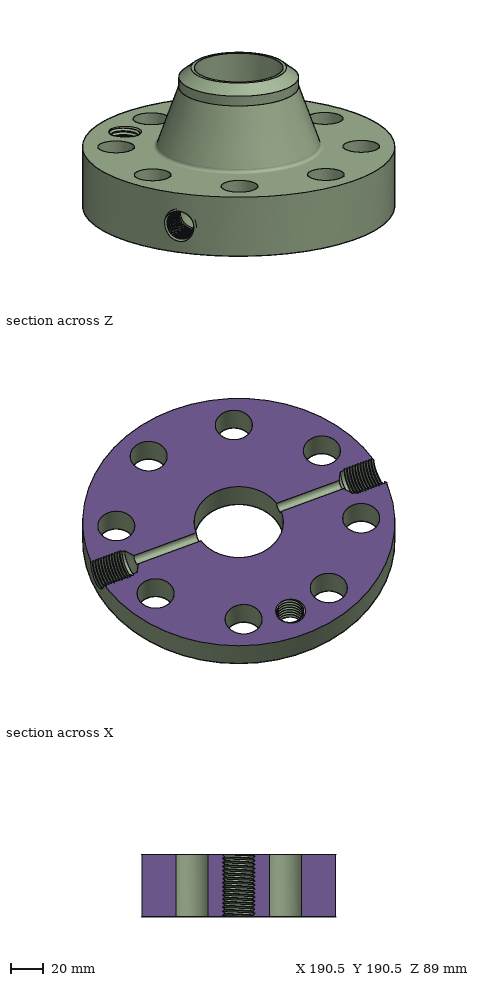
import cadquery as cq
import math

flange_diameter = 190.5
flange_thickness = 38.1
total_height = 89.0
bore_diameter = 54.1
hub_base_diameter = 99.0
hub_foot_diameter = 104.0
hub_foot_height = 2.3
hub_top_diameter = 73.2
hub_top_height = 6.3
weld_land_diameter = 58.3
weld_bevel_height = 6.0

bolt_circle_diameter = 149.4
bolt_hole_diameter = 22.3
bolt_count = 8
bolt_pitch_angle = 360 / bolt_count

jack_minor_diameter = 16.5
jack_major_diameter = 19.6
jack_chamfer_diameter = 20.0
jack_thread_pitch = 2.5
jack_thread_start_angle = 140.0

tap_height = 17.5
tap_minor_diameter = 18.0
tap_major_diameter = 20.8
tap_thread_pitch = 1.81
tap_thread_start_angle = 45.0
tap_depth = 22.9
tap_drill_diameter = 6.5
tap_tip_angle = 118.0

thread_overlap = 0.2
groove_width_ratio = 0.98


def make_body():
    """Revolved flange with foot fillet, tapered hub, weld end and bore."""
    bevel_bottom = total_height - weld_bevel_height
    taper_top = bevel_bottom - hub_top_height
    foot_top = flange_thickness + hub_foot_height
    foot_radius = hub_foot_diameter / 2
    base_radius = hub_base_diameter / 2
    return (
        cq.Workplane("XZ")
        .moveTo(bore_diameter / 2, 0)
        .lineTo(flange_diameter / 2, 0)
        .lineTo(flange_diameter / 2, flange_thickness)
        .lineTo(foot_radius, flange_thickness)
        .tangentArcPoint((base_radius, foot_top), relative=False)
        .lineTo(hub_top_diameter / 2, taper_top)
        .lineTo(hub_top_diameter / 2, bevel_bottom)
        .lineTo(weld_land_diameter / 2, total_height)
        .lineTo(bore_diameter / 2, total_height)
        .close()
        .revolve(360, (0, 0, 0), (0, 1, 0))
    )


def thread_groove(minor_diameter, major_diameter, pitch, turns, start_angle):
    """Helical V groove around +Z, climbing from the origin one turn at a time."""
    inner_radius = minor_diameter / 2 - thread_overlap
    half_width = pitch * groove_width_ratio / 2
    profile = [
        (inner_radius, -half_width),
        (major_diameter / 2, 0),
        (inner_radius, half_width),
    ]

    def end_face(height):
        corners = [cq.Vector(radius, 0, offset + height) for radius, offset in profile]
        return cq.Face.makeFromWires(cq.Wire.makePolygon(corners, close=True))

    faces = [end_face(0), end_face(turns * pitch)]
    for turn in range(turns):
        edges = [
            cq.Wire.makeHelix(pitch, pitch, radius).translate(cq.Vector(0, 0, offset + turn * pitch))
            for radius, offset in profile
        ]
        for first, second in zip(edges, edges[1:] + edges[:1]):
            faces.append(cq.Face.makeRuledSurface(first, second))
    groove = cq.Solid.makeSolid(cq.Shell.makeShell(faces))
    return cq.Workplane(groove).rotate((0, 0, 0), (0, 0, 1), start_angle)


def cut_bolt_holes(body):
    """Plain through holes straddling the X and Y axes."""
    holes = (
        cq.Workplane("XY")
        .polarArray(bolt_circle_diameter / 2, bolt_pitch_angle / 2, 360, bolt_count)
        .circle(bolt_hole_diameter / 2)
        .extrude(flange_thickness)
    )
    return body.cut(holes)


def cut_jack_hole(body):
    """Tapped through hole with a 45 degree chamfer at the top face."""
    center = (-bolt_circle_diameter / 2, 0, 0)
    chamfer_width = (jack_chamfer_diameter - jack_minor_diameter) / 2
    drill = (
        cq.Workplane("XY")
        .circle(jack_minor_diameter / 2)
        .extrude(flange_thickness)
        .faces(">Z")
        .workplane(offset=-chamfer_width)
        .circle(jack_minor_diameter / 2)
        .workplane(offset=chamfer_width)
        .circle(jack_chamfer_diameter / 2)
        .loft()
    )
    turns = math.ceil(flange_thickness / jack_thread_pitch) + 2
    groove = thread_groove(
        jack_minor_diameter, jack_major_diameter, jack_thread_pitch, turns, jack_thread_start_angle
    ).translate((0, 0, -jack_thread_pitch))
    return body.cut(drill.translate(center)).cut(groove.translate(center))


def cut_pressure_tap(body, direction_angle):
    """Threaded port with a drilled tip and a small passage into the bore.

    The direction is an angle about Z, measured from -Y.
    """
    flange_radius = flange_diameter / 2
    minor_radius = tap_minor_diameter / 2
    drill_radius = tap_drill_diameter / 2
    tip_slope = math.tan(math.radians(tap_tip_angle / 2))
    bottom = flange_radius - tap_depth
    tip_end = bottom - (minor_radius - drill_radius) / tip_slope
    drill = (
        cq.Workplane("XZ")
        .polyline([
            (0, 0),
            (drill_radius, 0),
            (drill_radius, tip_end),
            (minor_radius, bottom),
            (minor_radius, flange_radius),
            (0, flange_radius),
        ])
        .close()
        .revolve(360, (0, 0, 0), (0, 1, 0))
    )
    turns = math.ceil(tap_depth / tap_thread_pitch)
    groove = thread_groove(
        tap_minor_diameter, tap_major_diameter, tap_thread_pitch, turns, tap_thread_start_angle
    ).translate((0, 0, bottom + tap_thread_pitch))

    def place(tool):
        return (
            tool.rotate((0, 0, 0), (1, 0, 0), 90)
            .rotate((0, 0, 0), (0, 0, 1), direction_angle)
            .translate((0, 0, tap_height))
        )

    return body.cut(place(drill)).cut(place(groove))


result = cut_bolt_holes(make_body())
result = cut_jack_hole(result)
for direction_angle in (0, 180):
    result = cut_pressure_tap(result, direction_angle)